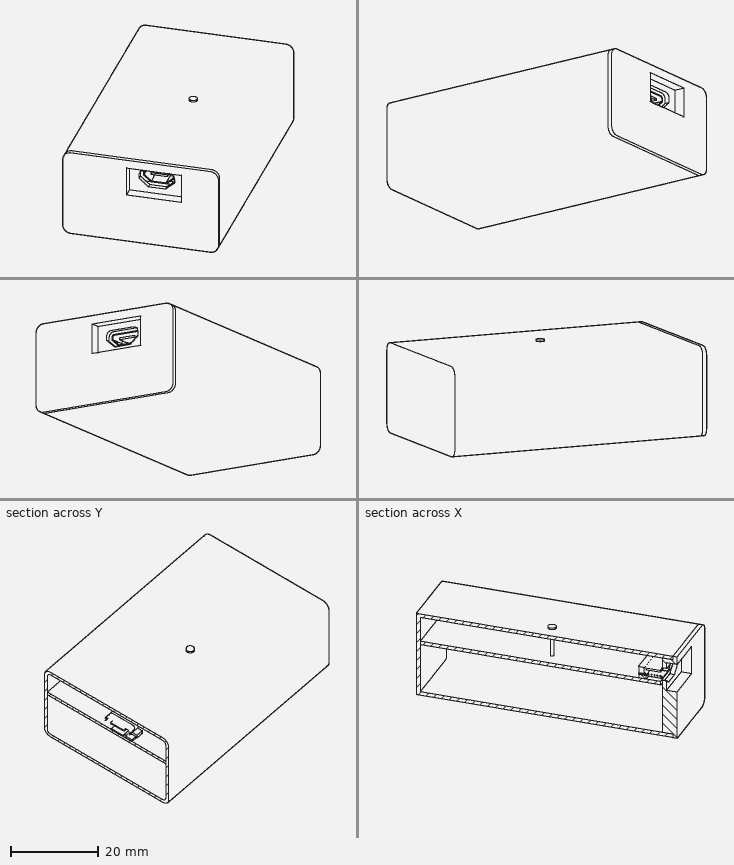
import cadquery as cq

CASE_WIDTH = 37.0
CASE_LENGTH = 63.5
CASE_HEIGHT = 21.0
CORNER_RADIUS = 2.0
WALL = 1.0
FRONT_Y = -CASE_LENGTH / 2
CAVITY_WIDTH = CASE_WIDTH - 2 * WALL

LID_DEPTH = 3.7
LID_BACK_Y = FRONT_Y + LID_DEPTH

PORT_X = 3.2
WINDOW_WIDTH = 13.0
WINDOW_HEIGHT = 7.0
WINDOW_DEPTH = 2.55
WINDOW_BOTTOM_Z = 12.0

LID_GAP = 0.3
BOARD_FRONT_Y = LID_BACK_Y + LID_GAP
BOARD_TOP_Z = 14.05
BOARD_THICKNESS = 1.0

SHELL_TOP_WIDTH = 7.3
SHELL_BOTTOM_WIDTH = 3.6
SHELL_HEIGHT = 2.9
SHELL_SIDE_HEIGHT = 1.35
SHELL_CORNER_RADIUS = 0.7
SHELL_THICKNESS = 0.22
SHELL_LENGTH = 5.4
SHELL_FRONT_Y = BOARD_FRONT_Y
SOCKET_DEPTH = 4.0
OPENING_CLEARANCE = 0.6
TONGUE_RECESS = 0.5
TONGUE_WIDTH = 3.9
TONGUE_THICKNESS = 0.45
TONGUE_MIDDLE_Z = BOARD_TOP_Z + 1.85
FLANGE_WIDTH = 9.2
FLANGE_HEIGHT = 0.9
FLANGE_LENGTH = 1.9

CHIP_WIDTH = 2.0
CHIP_LENGTH = 2.0
CHIP_SETBACK = 1.35
CHIP_HEIGHT = 0.5
CHIP_GAP = 0.05

BUTTON_X = 3.55
HEAD_DIAMETER = 2.0
HEAD_THICKNESS = 0.4
HEAD_GAP = 0.1
STEM_DIAMETER = 0.8


def box(width, length, height, center_x, front_y, bottom_z):
    """Box centred on center_x that starts at front_y and stands on bottom_z."""
    return (
        cq.Workplane("XY")
        .box(width, length, height, centered=(True, False, False))
        .translate((center_x, front_y, bottom_z))
    )


def rounded_bar(inset, front_y, back_y):
    """Bar along Y with the case outline moved inward by inset."""
    return (
        box(
            CASE_WIDTH - 2 * inset,
            back_y - front_y,
            CASE_HEIGHT - 2 * inset,
            0,
            front_y,
            inset,
        )
        .edges("|Y")
        .fillet(CORNER_RADIUS - inset)
    )


def shell_bar(offset, front_y, length):
    """Bar along +Y with the outline of the connector shell, grown by offset."""
    half_top = SHELL_TOP_WIDTH / 2
    half_bottom = SHELL_BOTTOM_WIDTH / 2
    top_z = BOARD_TOP_Z + SHELL_HEIGHT
    side_bottom_z = top_z - SHELL_SIDE_HEIGHT
    bar = (
        cq.Workplane("XZ", origin=(PORT_X, front_y, 0))
        .moveTo(-half_top, top_z)
        .lineTo(half_top, top_z)
        .lineTo(half_top, side_bottom_z)
        .lineTo(half_bottom, BOARD_TOP_Z)
        .lineTo(-half_bottom, BOARD_TOP_Z)
        .lineTo(-half_top, side_bottom_z)
        .close()
        .offset2D(offset, "intersection")
        .extrude(-length)
    )
    return bar.edges("|Y").edges(">Z").fillet(SHELL_CORNER_RADIUS + offset)


def button_cylinder(diameter, bottom_z, top_z):
    """Upright cylinder on the button axis."""
    return (
        cq.Workplane("XY", origin=(BUTTON_X, 0, bottom_z))
        .circle(diameter / 2)
        .extrude(top_z - bottom_z)
    )


def make_housing():
    outside = rounded_bar(0, FRONT_Y + WALL, -FRONT_Y)
    cavity = rounded_bar(WALL, FRONT_Y + WALL, -FRONT_Y - WALL)
    button_hole = button_cylinder(STEM_DIAMETER, CASE_HEIGHT - WALL, CASE_HEIGHT)
    return outside.cut(cavity).cut(button_hole)


def make_lid():
    plate = rounded_bar(0, FRONT_Y, FRONT_Y + WALL)
    plug = rounded_bar(WALL, FRONT_Y + WALL, LID_BACK_Y)
    window = box(WINDOW_WIDTH, WINDOW_DEPTH, WINDOW_HEIGHT, PORT_X, FRONT_Y, WINDOW_BOTTOM_Z)
    opening = shell_bar(OPENING_CLEARANCE, FRONT_Y, LID_DEPTH)
    return plate.union(plug).cut(window).cut(opening)


def make_board():
    length = -FRONT_Y - WALL - BOARD_FRONT_Y
    return box(CAVITY_WIDTH, length, BOARD_THICKNESS, 0, BOARD_FRONT_Y, BOARD_TOP_Z - BOARD_THICKNESS)


def make_connector():
    shell = shell_bar(0, SHELL_FRONT_Y, SHELL_LENGTH)
    socket = shell_bar(-SHELL_THICKNESS, SHELL_FRONT_Y, SOCKET_DEPTH)
    tongue = box(
        TONGUE_WIDTH,
        SOCKET_DEPTH - TONGUE_RECESS,
        TONGUE_THICKNESS,
        PORT_X,
        SHELL_FRONT_Y + TONGUE_RECESS,
        TONGUE_MIDDLE_Z - TONGUE_THICKNESS / 2,
    )
    flange_y = SHELL_FRONT_Y + SHELL_LENGTH - FLANGE_LENGTH
    flange = box(FLANGE_WIDTH, FLANGE_LENGTH, FLANGE_HEIGHT, PORT_X, flange_y, BOARD_TOP_Z)
    return shell.union(flange).cut(socket).union(tongue)


def make_chip():
    slope = (SHELL_TOP_WIDTH - SHELL_BOTTOM_WIDTH) / 2 / (SHELL_HEIGHT - SHELL_SIDE_HEIGHT)
    shell_half_width = SHELL_BOTTOM_WIDTH / 2 + slope * CHIP_HEIGHT
    chip_x = PORT_X + shell_half_width + CHIP_GAP + CHIP_WIDTH / 2
    return box(CHIP_WIDTH, CHIP_LENGTH, CHIP_HEIGHT, chip_x, SHELL_FRONT_Y + CHIP_SETBACK, BOARD_TOP_Z)


def make_button():
    head_bottom_z = CASE_HEIGHT + HEAD_GAP
    head = button_cylinder(HEAD_DIAMETER, head_bottom_z, head_bottom_z + HEAD_THICKNESS)
    stem = button_cylinder(STEM_DIAMETER, BOARD_TOP_Z, head_bottom_z)
    return head.union(stem)


housing = make_housing()
lid = make_lid()
board = make_board()
connector = make_connector()
chip = make_chip()
button = make_button()

result = cq.Compound.makeCompound(
    [housing.val(), lid.val(), board.val(), connector.val(), chip.val(), button.val()]
)